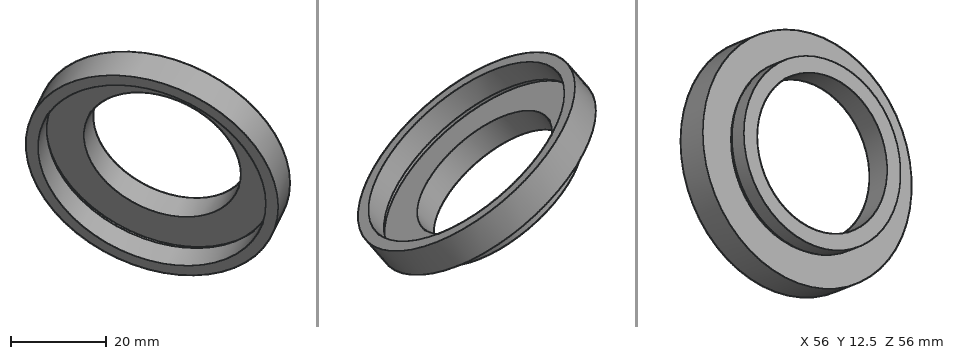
import cadquery as cq

flange_diameter = 56.0
flange_thickness = 7.5
recess_diameter = 50.5
recess_depth = 6.5
relief_diameter = 51.5
relief_width = 1.0
neck_diameter = 41.0
neck_length = 1.0
boss_diameter = 42.0
boss_length = 4.0
bore_diameter = 34.8

total_length = flange_thickness + neck_length + boss_length


def disc(diameter, start, length):
    """Solid cylinder about the Y axis, running from Y = start towards +Y."""
    return cq.Workplane("XZ", origin=(0, start, 0)).circle(diameter / 2).extrude(-length)


flange = disc(flange_diameter, 0, flange_thickness)
neck = disc(neck_diameter, flange_thickness, neck_length)
boss = disc(boss_diameter, flange_thickness + neck_length, boss_length)
body = flange.union(neck).union(boss)

recess = disc(recess_diameter, 0, recess_depth)
relief = disc(relief_diameter, recess_depth - relief_width, relief_width)
bore = disc(bore_diameter, 0, total_length)

result = body.cut(recess).cut(relief).cut(bore)